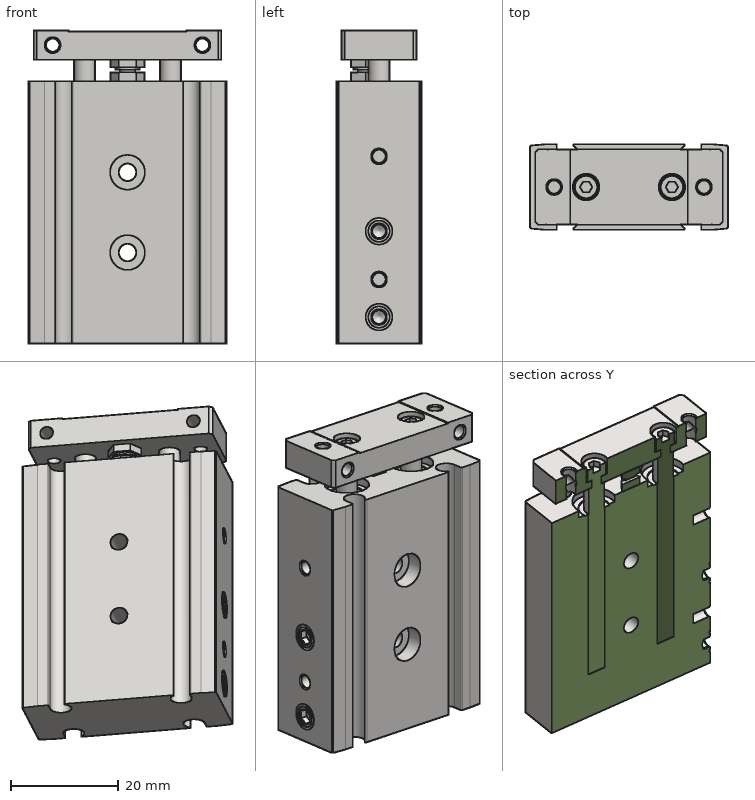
import cadquery as cq
import math

HOUSING_WIDTH = 37.0
HOUSING_DEPTH = 16.0
HOUSING_HEIGHT = 49.0
CORNER_CHAMFER = 0.25
FLANK_START_X = 15.55
FLANK_DROP = 0.25

GROOVE_OUTER_X = 13.45
GROOVE_INNER_X = 10.4
GROOVE_DIAMETER = 4.0
GROOVE_AXIS_DEPTH = 2.0
GROOVE_LIP_RADIUS = 0.25

MOUNT_HOLE_DIAMETER = 3.2
MOUNT_BORE_DIAMETER = 6.5
MOUNT_BORE_DEPTH = 3.3
MOUNT_HOLE_HEIGHTS = (17.0, 32.0)

TAP_DIAMETER = 2.45
TAP_MOUTH_DIAMETER = 3.0
TAP_DEPTH = 4.0
SIDE_TAP_HEIGHTS = (12.0, 35.0)

PORT_HEIGHTS = (5.0, 21.0)
PORT_RING_OUTER = 5.0
PORT_RING_INNER = 4.0
PORT_SOCKET_MOUTH = 3.0
PORT_SOCKET_FLATS = 2.5
PORT_SOCKET_DEPTH = 1.5
PORT_TIP_ANGLE = 120
HEXAGON_TURN = 30

ROD_X = 8.0
ROD_DIAMETER = 4.0
ROD_BOTTOM = 10.0
GLAND_DIAMETER = 8.3
GLAND_DEPTH = 1.5
GLAND_INNER_DIAMETER = 6.0
GLAND_INNER_DEPTH = 1.75

PLATE_WIDTH = 35.1
PLATE_DEPTH = 14.05
PLATE_BOTTOM = 53.0
PLATE_TOP = 58.5
PLATE_CHAMFER = 0.6
PLATE_STEP_DEPTH = 0.2
PLATE_STEP_WIDTH = 22.0
PLATE_TAP_X = 14.0

NECK_DIAMETER = 2.45
HEAD_DIAMETER = 4.5
HEAD_BORE_DIAMETER = 5.0
HEAD_BORE_DEPTH = 3.5
HEAD_SINK = 0.75
HEAD_CHAMFER = 0.2
HEAD_SOCKET_FLATS = 2.0
HEAD_SOCKET_DEPTH = 1.2

STOPPER_Y = 2.5
HEX_FLATS = 5.5
BOLT_HEAD_HEIGHT = 1.65
NUT_HEIGHT = 1.4
COLLAR_DIAMETER = 4.55
COLLAR_HEIGHT = 0.4
THREAD_DIAMETER = 3.0

plate_middle_z = PLATE_TOP - PLATE_STEP_DEPTH
head_top_z = plate_middle_z - HEAD_SINK
head_seat_z = plate_middle_z - HEAD_BORE_DEPTH
half_width = HOUSING_WIDTH / 2
half_depth = HOUSING_DEPTH / 2


def cylinder(diameter, start, length, direction):
    """A solid cylinder from a start point along a direction."""
    return cq.Workplane(obj=cq.Solid.makeCylinder(
        diameter / 2, length, cq.Vector(*start), cq.Vector(*direction)))


def cone(start_diameter, end_diameter, length, start, direction):
    """A solid cone or truncated cone from a start point along a direction."""
    return cq.Workplane(obj=cq.Solid.makeCone(
        start_diameter / 2, end_diameter / 2, length, cq.Vector(*start), cq.Vector(*direction)))


def tapped_hole(start, length, direction):
    """Cutter for a tapped hole with a 45 degree countersink at its start."""
    countersink_depth = (TAP_MOUTH_DIAMETER - TAP_DIAMETER) / 2
    countersink = cone(TAP_MOUTH_DIAMETER, TAP_DIAMETER, countersink_depth, start, direction)
    return cylinder(TAP_DIAMETER, start, length, direction).union(countersink)


def hexagon(flats, bottom_z, height, x, y):
    """A hexagonal prism with two corners on the X axis."""
    corner_diameter = flats / math.cos(math.pi / 6)
    return (cq.Workplane("XY", origin=(x, y, bottom_z))
            .polygon(6, corner_diameter).extrude(height))


def housing_block():
    """The extrusion's outer shape before grooves and holes."""
    flank_y = half_depth - FLANK_DROP
    quarter = [
        (half_width, flank_y - CORNER_CHAMFER),
        (half_width - CORNER_CHAMFER, flank_y),
        (FLANK_START_X, half_depth),
    ]
    right_back = quarter
    left_back = [(-x, y) for x, y in reversed(quarter)]
    left_front = [(-x, -y) for x, y in quarter]
    right_front = [(x, -y) for x, y in reversed(quarter)]
    outline = right_back + left_back + left_front + right_front
    return cq.Workplane("XY").polyline(outline).close().extrude(HOUSING_HEIGHT)


def groove_cutter():
    """The full-height groove at the front right, with rounded lips."""
    axis_x = GROOVE_OUTER_X - GROOVE_DIAMETER / 2
    axis_y = GROOVE_AXIS_DEPTH - half_depth
    lip_y = GROOVE_LIP_RADIUS - half_depth
    arc_offset = GROOVE_LIP_RADIUS * (1 - math.sqrt(0.5))
    mouth = (cq.Workplane("XY")
             .moveTo(GROOVE_INNER_X, axis_y)
             .lineTo(GROOVE_INNER_X, lip_y)
             .threePointArc((GROOVE_INNER_X - arc_offset, arc_offset - half_depth),
                            (GROOVE_INNER_X - GROOVE_LIP_RADIUS, -half_depth))
             .lineTo(GROOVE_OUTER_X + GROOVE_LIP_RADIUS, -half_depth)
             .threePointArc((GROOVE_OUTER_X + arc_offset, arc_offset - half_depth),
                            (GROOVE_OUTER_X, lip_y))
             .lineTo(GROOVE_OUTER_X, axis_y)
             .close().extrude(HOUSING_HEIGHT))
    channel = cylinder(GROOVE_DIAMETER, (axis_x, axis_y, 0), HOUSING_HEIGHT, (0, 0, 1))
    return channel.union(mouth)


def mount_hole_cutter(z):
    """A through hole along Y with a counterbore at the front."""
    hole = cylinder(MOUNT_HOLE_DIAMETER, (0, -half_depth, z), HOUSING_DEPTH, (0, 1, 0))
    bore = cylinder(MOUNT_BORE_DIAMETER, (0, -half_depth, z), MOUNT_BORE_DEPTH, (0, 1, 0))
    return hole.union(bore)


def ring_groove_cutter(z):
    """The round-bottomed ring groove around a port."""
    mean_radius = (PORT_RING_OUTER + PORT_RING_INNER) / 4
    round_radius = (PORT_RING_OUTER - PORT_RING_INNER) / 4
    return cq.Workplane(obj=cq.Solid.makeTorus(
        mean_radius, round_radius, cq.Vector(-half_width, 0, z), cq.Vector(1, 0, 0)))


def port_socket_cutter(z):
    """The port's hexagon socket, with a countersunk mouth and a conical end."""
    corner_diameter = PORT_SOCKET_FLATS / math.cos(math.pi / 6)
    socket = (cq.Workplane("YZ", origin=(-half_width, 0, z))
              .polygon(6, corner_diameter).extrude(PORT_SOCKET_DEPTH)
              .rotate((0, 0, z), (1, 0, z), HEXAGON_TURN))
    mouth_depth = (PORT_SOCKET_MOUTH - PORT_SOCKET_FLATS) / 2
    mouth = cone(PORT_SOCKET_MOUTH, PORT_SOCKET_FLATS, mouth_depth, (-half_width, 0, z), (1, 0, 0))
    tip_length = PORT_SOCKET_FLATS / 2 / math.tan(math.radians(PORT_TIP_ANGLE / 2))
    tip = cone(PORT_SOCKET_FLATS, 0, tip_length, (PORT_SOCKET_DEPTH - half_width, 0, z), (1, 0, 0))
    return socket.union(mouth).union(tip)


def gland_cutter(x):
    """The stepped recess around a rod and the bore that holds the rod."""
    outer = cylinder(GLAND_DIAMETER, (x, 0, HOUSING_HEIGHT), GLAND_DEPTH, (0, 0, -1))
    inner = cylinder(GLAND_INNER_DIAMETER, (x, 0, HOUSING_HEIGHT), GLAND_INNER_DEPTH, (0, 0, -1))
    bore = cylinder(ROD_DIAMETER, (x, 0, ROD_BOTTOM), HOUSING_HEIGHT - ROD_BOTTOM, (0, 0, 1))
    return outer.union(inner).union(bore)


def make_housing():
    housing = housing_block()
    front_right = groove_cutter()
    front_left = front_right.mirror("YZ")
    for groove in (front_right, front_left):
        housing = housing.cut(groove).cut(groove.mirror("XZ"))
    for z in MOUNT_HOLE_HEIGHTS:
        housing = housing.cut(mount_hole_cutter(z))
    for z in SIDE_TAP_HEIGHTS:
        housing = housing.cut(tapped_hole((-half_width, 0, z), TAP_DEPTH, (1, 0, 0)))
    for z in PORT_HEIGHTS:
        housing = housing.cut(ring_groove_cutter(z))
        housing = housing.cut(port_socket_cutter(z))
    for x in (-ROD_X, ROD_X):
        housing = housing.cut(gland_cutter(x))
    return housing


def make_plate():
    height = PLATE_TOP - PLATE_BOTTOM
    plate = (cq.Workplane("XY", origin=(0, 0, PLATE_BOTTOM))
             .rect(PLATE_WIDTH, PLATE_DEPTH).extrude(height)
             .edges("|Z").chamfer(PLATE_CHAMFER))
    step = (cq.Workplane("XY", origin=(0, 0, plate_middle_z))
            .rect(PLATE_STEP_WIDTH, PLATE_DEPTH).extrude(PLATE_STEP_DEPTH))
    plate = plate.cut(step)
    tap_z = (PLATE_TOP + PLATE_BOTTOM) / 2
    for x in (-PLATE_TAP_X, PLATE_TAP_X):
        plate = plate.cut(tapped_hole((x, -PLATE_DEPTH / 2, tap_z), PLATE_DEPTH, (0, 1, 0)))
        plate = plate.cut(tapped_hole((x, 0, PLATE_TOP), height, (0, 0, -1)))
    for x in (-ROD_X, ROD_X):
        plate = plate.cut(cylinder(NECK_DIAMETER, (x, 0, PLATE_BOTTOM), height, (0, 0, 1)))
        plate = plate.cut(cylinder(HEAD_BORE_DIAMETER, (x, 0, head_seat_z), HEAD_BORE_DEPTH, (0, 0, 1)))
    return plate


def make_rod(x):
    """A rod whose neck passes through the plate to a socket head."""
    rod = cylinder(ROD_DIAMETER, (x, 0, ROD_BOTTOM), PLATE_BOTTOM - ROD_BOTTOM, (0, 0, 1))
    neck = cylinder(NECK_DIAMETER, (x, 0, PLATE_BOTTOM), head_seat_z - PLATE_BOTTOM, (0, 0, 1))
    head = cylinder(HEAD_DIAMETER, (x, 0, head_seat_z), head_top_z - head_seat_z, (0, 0, 1))
    head = head.faces(">Z").edges().chamfer(HEAD_CHAMFER)
    socket = hexagon(HEAD_SOCKET_FLATS, head_top_z - HEAD_SOCKET_DEPTH, HEAD_SOCKET_DEPTH, x, 0)
    return rod.union(neck).union(head).cut(socket)


def make_stopper_bolt():
    """The bolt rests its head on the housing; its thread ends at the plate."""
    head = hexagon(HEX_FLATS, HOUSING_HEIGHT, BOLT_HEAD_HEIGHT, 0, STOPPER_Y)
    thread = cylinder(THREAD_DIAMETER, (0, STOPPER_Y, HOUSING_HEIGHT),
                      PLATE_BOTTOM - HOUSING_HEIGHT, (0, 0, 1))
    return head.union(thread)


def make_lock_nut():
    """The nut sits against the plate, with a round collar below its hexagon."""
    nut_bottom = PLATE_BOTTOM - NUT_HEIGHT
    collar_bottom = nut_bottom - COLLAR_HEIGHT
    nut = hexagon(HEX_FLATS, nut_bottom, NUT_HEIGHT, 0, STOPPER_Y)
    collar = cylinder(COLLAR_DIAMETER, (0, STOPPER_Y, collar_bottom), COLLAR_HEIGHT, (0, 0, 1))
    hole = cylinder(THREAD_DIAMETER, (0, STOPPER_Y, collar_bottom),
                    PLATE_BOTTOM - collar_bottom, (0, 0, 1))
    return nut.union(collar).cut(hole)


housing = make_housing()
plate = make_plate()
rods = [make_rod(x) for x in (-ROD_X, ROD_X)]
stopper_bolt = make_stopper_bolt()
lock_nut = make_lock_nut()

result = cq.Compound.makeCompound([
    housing.val(),
    plate.val(),
    *[rod.val() for rod in rods],
    stopper_bolt.val(),
    lock_nut.val(),
])